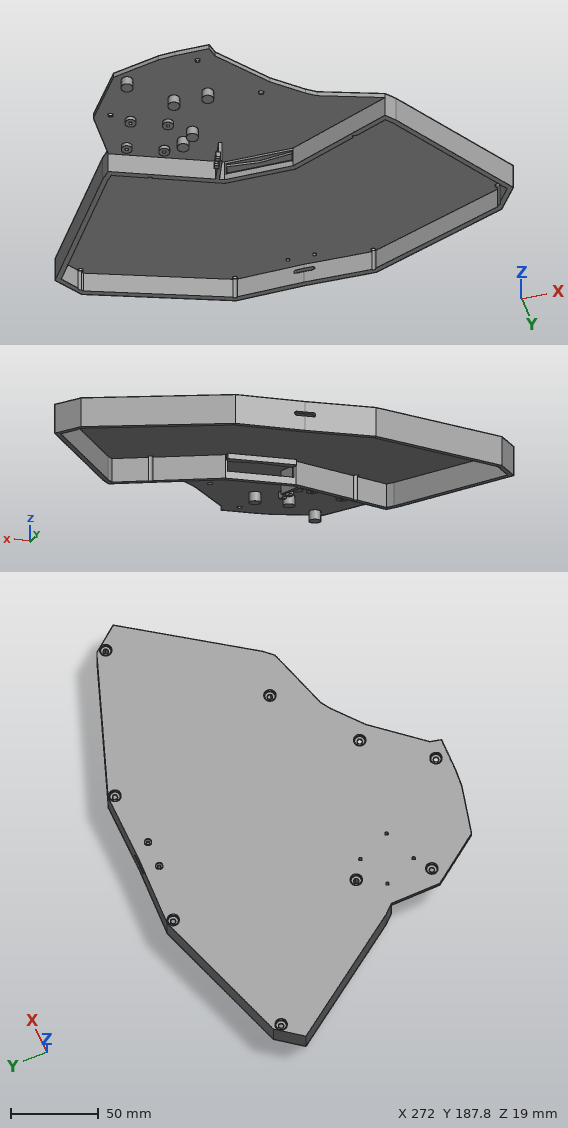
import cadquery as cq
import math

OVERALL_HEIGHT = 19.0
TRAY_HEIGHT = 17.5
TAB_DROP = OVERALL_HEIGHT - TRAY_HEIGHT
PLATE_THICKNESS = 3.3
PLATE_BOTTOM = TRAY_HEIGHT - PLATE_THICKNESS
WALL = 3.0

REAR_Y = 93.0
OUTLINE_HALF_Y = 93.9
HALF_SIDE = [
    (41.5, OUTLINE_HALF_Y),
    (124.5, 64.5),
    (136.0, 49.2),
    (87.0, -22.3),
    (82.0, -27.7),
]

PLATE_FRONT = [
    (45.5, -40.0),
    (39.7, -43.8),
    (22.8, -58.2),
    (-1.4, -87.2),
    (-3.0, -OUTLINE_HALF_Y),
    (-23.0, -OUTLINE_HALF_Y),
    (-33.2, -93.2),
    (-61.7, -86.7),
    (-82.0, -58.0),
]

FRONT_SLANT = 22
MIDDLE_HALF = 20.5
FRONT_CORNER_X, FRONT_CORNER_Y = HALF_SIDE[-1]
SLANT = math.tan(math.radians(FRONT_SLANT))
MIDDLE_Y = FRONT_CORNER_Y + (FRONT_CORNER_X - MIDDLE_HALF) * SLANT

SCREW_HOLE = 3.0
SCREW_HEAD = 6.0
SCREW_MOUTH = 7.0
SCREW_HEAD_DEPTH = 2.2
SCREWS = [
    (-123.7, 59.2),
    (123.7, 59.2),
    (-41.0, 90.0),
    (41.0, 90.0),
    (-61.0, -15.2),
    (61.0, -15.2),
    (-72.0, -57.3),
    (15.5, -51.0),
    (-12.0, -86.5),
]

SMALL_HOLE = 2.1
SMALL_HEAD = 4.0
SMALL_HEAD_DEPTH = 1.4
SMALL_X, SMALL_Y = 8.0, 84.0

STANDOFF = 6.3
STANDOFF_HOLE = 1.85
STANDOFF_LENGTH = 2.5
STANDOFF_PITCH = 21.5
STANDOFF_CENTRE = (-56.3, -36.5)

BOSS = 6.8
BOSS_LENGTH = 5.7
BOSSES = [(-55.2, -81.8), (-33.7, -60.0), (-13.5, -60.0), (-30.7, -32.5), (-38.0, -26.0)]

WINDOW_HALF = 19.5
WINDOW_BOTTOM = 4.3
WINDOW_TOP = 12.5
BAR_BOTTOM = 11.0
BAR_ANGLE = 6
BAR_SETBACK = 0.8

SLOT_WIDTH = 12.2
SLOT_HEIGHT = 2.5
SLOT_Z = 9.8

RIB_X = -25.0
RIB_LENGTH = 15.5
RIB_THICKNESS = 2.2
TAB_WIDTH = 4.0
TAB_THICKNESS = 2.7
TAB_OVERHANG = 2.0
TAB_TOP = 2.7
TAB_CHAMFER = 0.8
TAB_DISTANCES = [11.5, 17.5]


def mirrored(points):
    return [(-x, y) for x, y in reversed(points)]


def slab(points, bottom, top):
    return cq.Workplane("XY").workplane(offset=bottom).polyline(points).close().extrude(top - bottom)


def cylinders(points, diameter, bottom, top):
    plane = cq.Workplane("XY").workplane(offset=bottom)
    return plane.pushPoints(points).circle(diameter / 2).extrude(top - bottom)


def block(x0, x1, y0, y1, z0, z1):
    return cq.Workplane("XY").box(x1 - x0, y1 - y0, z1 - z0, centered=False).translate((x0, y0, z0))


def make_shell():
    """Plate over a tray whose walls enclose a space open at the bottom."""
    right = [(0, REAR_Y)] + HALF_SIDE
    plate = slab(right + PLATE_FRONT + mirrored(HALF_SIDE), PLATE_BOTTOM, TRAY_HEIGHT)
    middle = [(MIDDLE_HALF, MIDDLE_Y), (-MIDDLE_HALF, MIDDLE_Y)]
    tray_outline = right + middle + mirrored(HALF_SIDE)
    tray = slab(tray_outline, 0, TRAY_HEIGHT)
    inside = cq.Workplane("XY").polyline(tray_outline).close().offset2D(-WALL, "intersection")
    return plate.union(tray).cut(inside.extrude(PLATE_BOTTOM))


def make_v_bar():
    """Bar behind the window whose front face is set back towards its centre."""
    end_y = MIDDLE_Y + BAR_SETBACK
    centre_y = end_y + MIDDLE_HALF * math.tan(math.radians(BAR_ANGLE))
    outline = [
        (-MIDDLE_HALF, end_y),
        (0, centre_y),
        (MIDDLE_HALF, end_y),
        (MIDDLE_HALF, centre_y + WALL),
        (-MIDDLE_HALF, centre_y + WALL),
    ]
    return slab(outline, BAR_BOTTOM, PLATE_BOTTOM)


def make_rib():
    """Rib and tabs, built along +X from the wall and then turned into place."""
    rib = block(-WALL / 2, RIB_LENGTH, 0, RIB_THICKNESS, 0, PLATE_BOTTOM)
    for distance in TAB_DISTANCES:
        start = distance - TAB_WIDTH / 2
        tab = block(start, start + TAB_WIDTH, 0, TAB_THICKNESS, -TAB_DROP, TAB_TOP)
        tab = tab.translate((0, -TAB_OVERHANG, 0))
        rib = rib.union(tab.faces("<Z").edges("|Y").chamfer(TAB_CHAMFER))
    wall_y = FRONT_CORNER_Y + (RIB_X + FRONT_CORNER_X) * SLANT
    return rib.rotate((0, 0, 0), (0, 0, 1), FRONT_SLANT - 90).translate((RIB_X, wall_y, 0))


def screw_cutter():
    mouth_depth = (SCREW_MOUTH - SCREW_HEAD) / 2
    shank = cylinders(SCREWS, SCREW_HOLE, 0, TRAY_HEIGHT)
    head = cylinders(SCREWS, SCREW_HEAD, TRAY_HEIGHT - SCREW_HEAD_DEPTH, TRAY_HEIGHT)
    cone = cq.Solid.makeCone(SCREW_HEAD / 2, SCREW_MOUTH / 2, mouth_depth)
    places = cq.Workplane("XY").workplane(offset=TRAY_HEIGHT - mouth_depth).pushPoints(SCREWS)
    mouths = places.eachpoint(lambda place: cone.moved(place))
    return shank.union(head).union(mouths)


def small_hole_cutter():
    centres = [(-SMALL_X, SMALL_Y), (SMALL_X, SMALL_Y)]
    shank = cylinders(centres, SMALL_HOLE, PLATE_BOTTOM, TRAY_HEIGHT)
    return shank.union(cylinders(centres, SMALL_HEAD, TRAY_HEIGHT - SMALL_HEAD_DEPTH, TRAY_HEIGHT))


def standoff_centres():
    angle = math.radians(FRONT_SLANT)
    half = STANDOFF_PITCH / 2
    centres = []
    for along, across in [(-half, -half), (half, -half), (half, half), (-half, half)]:
        x = STANDOFF_CENTRE[0] + along * math.cos(angle) - across * math.sin(angle)
        y = STANDOFF_CENTRE[1] + along * math.sin(angle) + across * math.cos(angle)
        centres.append((x, y))
    return centres


def rear_slot_cutter():
    plane = cq.Workplane("XZ", origin=(0, REAR_Y + WALL, SLOT_Z))
    return plane.slot2D(SLOT_WIDTH, SLOT_HEIGHT).extrude(3 * WALL)


standoffs = standoff_centres()
window = block(-WINDOW_HALF, WINDOW_HALF, MIDDLE_Y - WALL, MIDDLE_Y + 2 * WALL, WINDOW_BOTTOM, WINDOW_TOP)

result = make_shell().cut(window).cut(rear_slot_cutter())
result = result.union(make_v_bar()).union(make_rib())
result = result.union(cylinders(standoffs, STANDOFF, PLATE_BOTTOM - STANDOFF_LENGTH, PLATE_BOTTOM))
result = result.union(cylinders(BOSSES, BOSS, PLATE_BOTTOM - BOSS_LENGTH, PLATE_BOTTOM))
result = result.cut(cylinders(standoffs, STANDOFF_HOLE, 0, TRAY_HEIGHT))
result = result.cut(screw_cutter()).cut(small_hole_cutter())